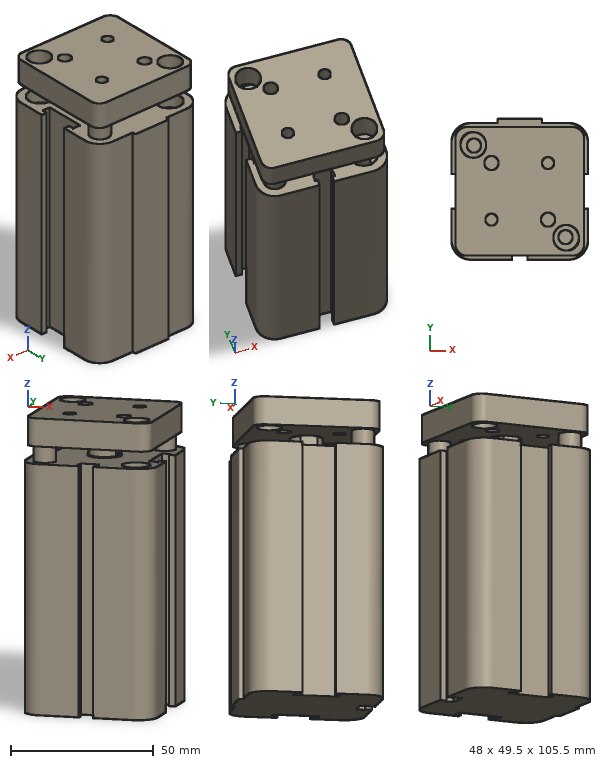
import cadquery as cq

TOTAL_HEIGHT = 105.5
PLATE_THICKNESS = 10.0
PLATE_GAP = 6.0
PLATE_BOTTOM = TOTAL_HEIGHT - PLATE_THICKNESS
HOUSING_HEIGHT = PLATE_BOTTOM - PLATE_GAP

HOUSING_WIDTH = 48.0
HOUSING_CORNER_RADIUS = 7.0
RAIL_WIDTH = 15.6
RAIL_HEIGHT = 1.5
RAIL_EDGE_RADIUS = 0.5

SLOT_LIP = 2.3
SLOT_DEPTH = 5.5
WIDE_SLOT_OPENING = 12.0
WIDE_SLOT_INNER = 16.1
NARROW_SLOT_OPENING = 5.3
NARROW_SLOT_INNER = 7.4
NARROW_SLOT_FLOOR = 6.5

MOUNT_OFFSET = 16.0
MOUNT_HOLE_DIAMETER = 5.0
MOUNT_BORE_DIAMETER = 10.0
MOUNT_BORE_DEPTH = 5.5
MOUNT_HOLE_DEPTH = 14.6

PLATE_WIDTH = 45.0
PLATE_CORNER_RADIUS = 3.8
ACCESS_HOLE_OFFSET = 16.2
ACCESS_HOLE_DIAMETER = 9.0
FIXING_HOLE_OFFSET = 9.9
SMALL_FIXING_DIAMETER = 4.2
LARGE_FIXING_DIAMETER = 5.0

GUIDE_ROD_OFFSET = 17.0
GUIDE_ROD_DIAMETER = 8.0
PISTON_ROD_DIAMETER = 11.7
PISTON_ROD_CHAMFER = 0.3
COLLAR_DIAMETER = 12.0
COLLAR_HEIGHT = 0.3
FLATS_WIDTH = 10.0
FLATS_START = 1.1


def rising_diagonal(offset):
    """Two points on the diagonal through the (-X, -Y) and (+X, +Y) corners."""
    return [(-offset, -offset), (offset, offset)]


def falling_diagonal(offset):
    """Two points on the diagonal through the (-X, +Y) and (+X, -Y) corners."""
    return [(-offset, offset), (offset, -offset)]


def make_slot(opening, inner, floor, angle):
    """Undercut slot in the -Y side, turned by angle about Z to reach another side.

    The slot is as wide as opening at its lip, inner behind the lip and floor at its bottom.
    """
    face = -HOUSING_WIDTH / 2
    lip_back = face + SLOT_LIP
    bottom = face + SLOT_DEPTH
    right_side = [
        (opening / 2, face),
        (opening / 2, lip_back),
        (inner / 2, lip_back),
        (floor / 2, bottom),
    ]
    left_side = [(-x, y) for x, y in reversed(right_side)]
    slot = cq.Workplane("XY").polyline(right_side + left_side).close().extrude(HOUSING_HEIGHT)
    return slot.rotate((0, 0, 0), (0, 0, 1), angle)


def make_rail():
    """Raised rail along the +Y side, sunk to the middle of the housing for a clean join."""
    length = HOUSING_WIDTH / 2 + RAIL_HEIGHT
    rail = cq.Workplane("XY").box(RAIL_WIDTH, length, HOUSING_HEIGHT, centered=(True, False, False))
    return rail.edges("|Z and >Y").fillet(RAIL_EDGE_RADIUS)


def make_housing():
    body = (
        cq.Workplane("XY")
        .box(HOUSING_WIDTH, HOUSING_WIDTH, HOUSING_HEIGHT, centered=(True, True, False))
        .edges("|Z")
        .fillet(HOUSING_CORNER_RADIUS)
        .union(make_rail())
    )
    body = body.cut(make_slot(NARROW_SLOT_OPENING, NARROW_SLOT_INNER, NARROW_SLOT_FLOOR, 0))
    for angle in (-90, 90):
        body = body.cut(make_slot(WIDE_SLOT_OPENING, WIDE_SLOT_INNER, WIDE_SLOT_INNER, angle))
    return (
        body.faces(">Z")
        .workplane(origin=(0, 0, HOUSING_HEIGHT))
        .pushPoints(falling_diagonal(MOUNT_OFFSET))
        .cboreHole(MOUNT_HOLE_DIAMETER, MOUNT_BORE_DIAMETER, MOUNT_BORE_DEPTH, MOUNT_HOLE_DEPTH)
    )


def make_plate():
    """Square front plate with corner access holes and four fixing holes."""
    plate = (
        cq.Workplane("XY")
        .workplane(offset=PLATE_BOTTOM)
        .rect(PLATE_WIDTH, PLATE_WIDTH)
        .extrude(PLATE_THICKNESS)
        .edges("|Z")
        .fillet(PLATE_CORNER_RADIUS)
    )
    hole_sets = [
        (falling_diagonal(ACCESS_HOLE_OFFSET), ACCESS_HOLE_DIAMETER),
        (falling_diagonal(FIXING_HOLE_OFFSET), LARGE_FIXING_DIAMETER),
        (rising_diagonal(FIXING_HOLE_OFFSET), SMALL_FIXING_DIAMETER),
    ]
    for points, diameter in hole_sets:
        plate = plate.faces(">Z").workplane(origin=(0, 0, TOTAL_HEIGHT)).pushPoints(points).hole(diameter)
    return plate


def make_piston_rod():
    """Central rod with a low collar, a chamfered upper end and two wrench flats facing -X and +X."""
    base = cq.Workplane("XY").workplane(offset=HOUSING_HEIGHT)
    rod = base.circle(PISTON_ROD_DIAMETER / 2).extrude(PLATE_GAP)
    rod = rod.faces(">Z").edges().chamfer(PISTON_ROD_CHAMFER)
    flats = base.workplane(offset=FLATS_START).rect(FLATS_WIDTH, COLLAR_DIAMETER).extrude(PLATE_GAP)
    foot = base.rect(COLLAR_DIAMETER, COLLAR_DIAMETER).extrude(FLATS_START)
    collar = base.circle(COLLAR_DIAMETER / 2).extrude(COLLAR_HEIGHT)
    return rod.intersect(flats.union(foot)).union(collar)


def make_slide():
    """Plate, piston rod and guide rods moving as one piece, standing on the housing's upper face."""
    guide_rods = (
        cq.Workplane("XY")
        .workplane(offset=HOUSING_HEIGHT)
        .pushPoints(rising_diagonal(GUIDE_ROD_OFFSET))
        .circle(GUIDE_ROD_DIAMETER / 2)
        .extrude(PLATE_GAP)
    )
    return make_plate().union(make_piston_rod()).union(guide_rods)


housing = make_housing()
slide = make_slide()

result = cq.Compound.makeCompound([housing.val(), slide.val()])